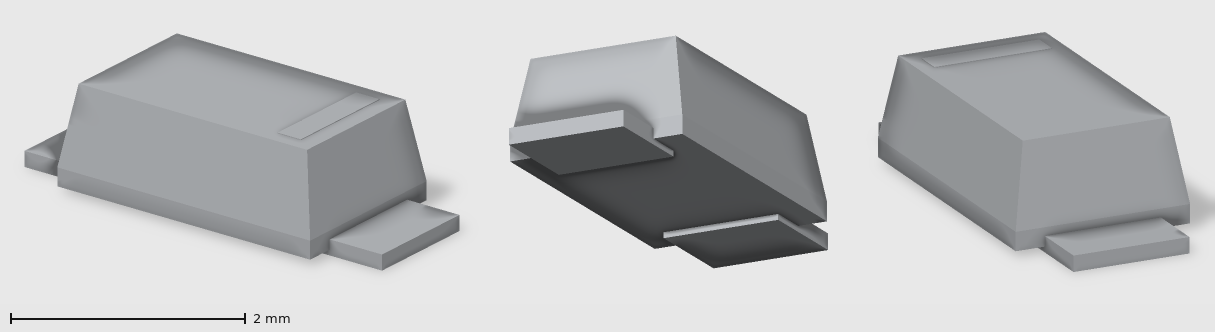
import cadquery as cq

overall_length = 3.81

lead_length = 0.93
lead_width = 1.097
lead_thickness = 0.15

housing_length = 2.695
housing_width = 1.65
housing_standoff = 0.055
band_height = 0.175
taper_height = 0.762
taper_inset = 0.13

mark_length = 0.248
mark_width = 1.113
mark_thickness = 0.008
mark_center_x = 0.922

lead_center_x = (overall_length - lead_length) / 2
band_top = housing_standoff + band_height
housing_top = band_top + taper_height


def make_lead(side):
    """Flat lead at the -X end (side = -1) or the +X end (side = 1)."""
    return (
        cq.Workplane("XY")
        .center(side * lead_center_x, 0)
        .rect(lead_length, lead_width)
        .extrude(lead_thickness)
    )


def make_housing(leads):
    """Housing with a recess in its underside for each lead."""
    band = (
        cq.Workplane("XY", origin=(0, 0, housing_standoff))
        .rect(housing_length, housing_width)
        .extrude(band_height)
    )
    taper = (
        cq.Workplane("XY", origin=(0, 0, band_top))
        .rect(housing_length, housing_width)
        .workplane(offset=taper_height)
        .rect(housing_length - 2 * taper_inset, housing_width - 2 * taper_inset)
        .loft(ruled=True)
    )
    housing = band.union(taper)
    for lead in leads:
        housing = housing.cut(lead)
    return housing


def make_polarity_mark():
    """Thin bar resting on the housing's top face near the +X end."""
    return (
        cq.Workplane("XY", origin=(mark_center_x, 0, housing_top))
        .rect(mark_length, mark_width)
        .extrude(mark_thickness)
    )


leads = [make_lead(side) for side in (-1, 1)]
housing = make_housing(leads)
polarity_mark = make_polarity_mark()

result = cq.Compound.makeCompound(
    [housing.val(), *[lead.val() for lead in leads], polarity_mark.val()]
)